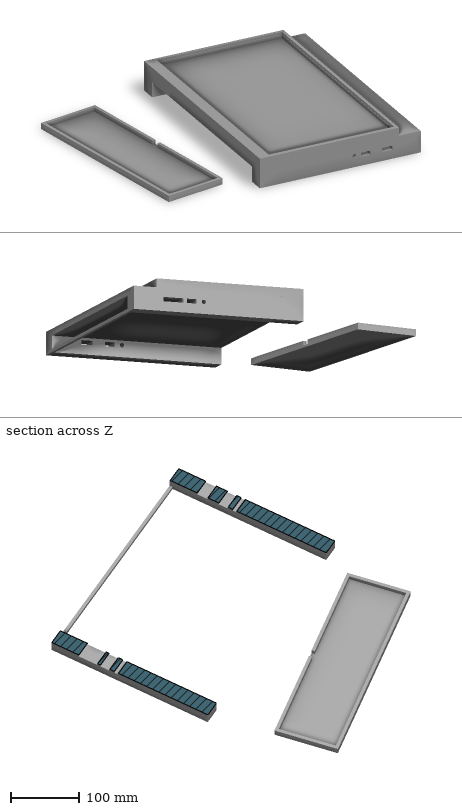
import cadquery as cq
import math

stand_width = 370.2
stand_depth = 265.0
total_height = 48.0
total_depth = 458.0

base_height = 35.0
leg_width = 25.5
roof_thickness = 10.0
lip_height = 5.0
lip_depth = 5.0

port_height = 6.5
port_center_z = 18.0
left_ports = [(46.5, 31.0), (83.0, 15.0)]
right_ports = [(46.5, 17.5), (83.0, 15.0)]
jack_diameter = 6.5
jack_from_rear = 109.5

screen_depth = 229.0
bezel_thickness = 3.5
frame_height = total_height - base_height - bezel_thickness
frame_floor = 3.5
side_border = 6.5
bezel_left_border = 4.5
rear_border = 5.5
bezel_rear_border = 5.0
front_border = 18.0

tray_length = 309.0
tray_width = 99.0
tray_height = 10.0
tray_wall = 5.0
tray_floor = 3.0
tray_angle = 10.0
tray_left = 29.5
cable_notch = 11.0
notch_from_left = 146.0


def block(x_size, y_size, z_size, x=0, y=0, z=0):
    """Box with its lowest corner at (x, y, z)."""
    return cq.Workplane("XY").box(x_size, y_size, z_size, centered=False).translate((x, y, z))


def cut_ports(body, leg_x, ports):
    """Cut rectangular ports and the round jack hole through one leg."""
    for rear_edge, length in ports:
        port_y = stand_depth - rear_edge - length
        port_z = port_center_z - port_height / 2
        body = body.cut(block(leg_width, length, port_height, leg_x, port_y, port_z))
    jack = (
        cq.Workplane("YZ", origin=(leg_x, stand_depth - jack_from_rear, port_center_z))
        .circle(jack_diameter / 2)
        .extrude(leg_width)
    )
    return body.cut(jack)


def make_base():
    """Bridge with a low lip between the legs at the rear."""
    opening_width = stand_width - 2 * leg_width
    body = block(stand_width, stand_depth, base_height)
    body = body.cut(block(opening_width, stand_depth, base_height - roof_thickness, leg_width))
    body = body.union(block(opening_width, lip_depth, lip_height, leg_width, stand_depth - lip_depth))
    body = cut_ports(body, 0, left_ports)
    return cut_ports(body, stand_width - leg_width, right_ports)


def make_screen_frame():
    """Shallow open box that holds the screen."""
    body = block(stand_width, screen_depth, frame_height, z=base_height)
    pocket_depth = screen_depth - front_border - rear_border
    pocket = block(
        stand_width - 2 * side_border, pocket_depth, frame_height - frame_floor,
        side_border, front_border, base_height + frame_floor,
    )
    return body.cut(pocket)


def make_bezel():
    """Thin plate with a window, flush with the frame outside."""
    bezel_z = base_height + frame_height
    body = block(stand_width, screen_depth, bezel_thickness, z=bezel_z)
    window_width = stand_width - bezel_left_border - side_border
    window_depth = screen_depth - front_border - bezel_rear_border
    window = block(window_width, window_depth, bezel_thickness, bezel_left_border, front_border, bezel_z)
    return body.cut(window)


def make_tray():
    """Walled tray with a cable notch through its rear wall."""
    body = block(tray_length, tray_width, tray_height)
    inner_length = tray_length - 2 * tray_wall
    inner_width = tray_width - 2 * tray_wall
    wall_height = tray_height - tray_floor
    body = body.cut(block(inner_length, inner_width, wall_height, tray_wall, tray_wall, tray_floor))
    notch_y = tray_width - tray_wall
    body = body.cut(block(cable_notch, tray_wall, wall_height, notch_from_left, notch_y, tray_floor))
    corner_x = tray_left + tray_width * math.sin(math.radians(tray_angle))
    corner_y = stand_depth - total_depth
    return body.rotate((0, 0, 0), (0, 0, 1), tray_angle).translate((corner_x, corner_y, 0))


base = make_base()
screen_frame = make_screen_frame()
bezel = make_bezel()
tray = make_tray()

result = cq.Compound.makeCompound([base.val(), screen_frame.val(), bezel.val(), tray.val()])